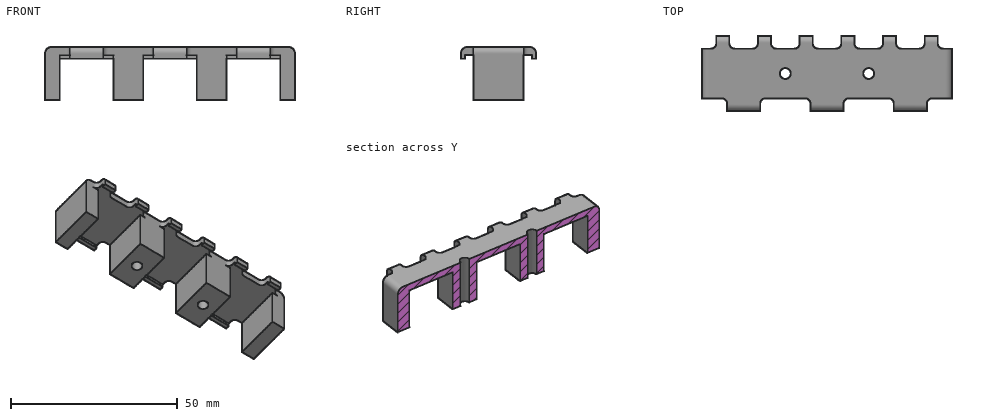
import cadquery as cq

cell_count = 3
cell_pitch = 25.0
body_depth = 15.0
body_height = 16.0
plate_thickness = 2.5
window_width = 16.0
end_edge_radius = 2.0
body_length = cell_count * cell_pitch

hook_reach = 3.8
hook_height = 3.6
lip_thickness = 1.3
hook_edge_radius = 2.0
hook_root_radius = 1.5
front_hook_width = 10.0
front_hook_count = cell_count
rear_hook_width = 4.0
rear_hook_count = 2 * cell_count

screw_hole_diameter = 3.2

plate_underside = body_height - plate_thickness


def row_centers(count, pitch):
    """X positions of a row of evenly spaced items centred on X = 0."""
    return [(index - (count - 1) / 2) * pitch for index in range(count)]


def make_body():
    """Bridge-shaped body with rounded upper end edges."""
    body = cq.Workplane("XY").box(body_length, body_depth, body_height, centered=(True, True, False))
    body = body.faces(">Z").edges("|Y").fillet(end_edge_radius)
    for center in row_centers(cell_count, cell_pitch):
        window = cq.Workplane("XY").center(center, 0).box(
            window_width, body_depth, plate_underside, centered=(True, True, False)
        )
        body = body.cut(window)
    return body


def make_hook(width):
    """Hook on the rear (+Y) edge at X = 0, with a downward lip and flared root."""
    body_edge = body_depth / 2
    tip = body_edge + hook_reach
    lip_bottom = body_height - hook_height
    profile = (
        cq.Workplane("YZ", origin=(-width / 2, 0, 0))
        .moveTo(body_edge, body_height)
        .lineTo(tip - hook_edge_radius, body_height)
        .radiusArc((tip, body_height - hook_edge_radius), hook_edge_radius)
        .lineTo(tip, lip_bottom)
        .lineTo(tip - lip_thickness, lip_bottom)
        .lineTo(tip - lip_thickness, plate_underside)
        .lineTo(body_edge, plate_underside)
        .close()
    )
    hook = profile.extrude(width)
    for side in (-1, 1):
        hook_side = side * width / 2
        flare_end = hook_side + side * hook_root_radius
        flare = (
            cq.Workplane("XY", origin=(0, 0, plate_underside))
            .moveTo(hook_side, body_edge)
            .lineTo(hook_side, body_edge + hook_root_radius)
            .radiusArc((flare_end, body_edge), side * -hook_root_radius)
            .close()
            .extrude(plate_thickness)
        )
        hook = hook.union(flare)
    return hook


def add_hooks(body):
    """Wide hooks on the front (-Y) edge and twice as many narrow ones on the rear."""
    front_hook = make_hook(front_hook_width).mirror("XZ")
    for center in row_centers(front_hook_count, body_length / front_hook_count):
        body = body.union(front_hook.translate((center, 0, 0)))
    rear_hook = make_hook(rear_hook_width)
    for center in row_centers(rear_hook_count, body_length / rear_hook_count):
        body = body.union(rear_hook.translate((center, 0, 0)))
    return body


def cut_screw_holes(body):
    """Vertical through holes on the centrelines of the inner legs."""
    for center in row_centers(cell_count - 1, cell_pitch):
        hole = cq.Workplane("XY").center(center, 0).circle(screw_hole_diameter / 2).extrude(body_height)
        body = body.cut(hole)
    return body


result = cut_screw_holes(add_hooks(make_body()))